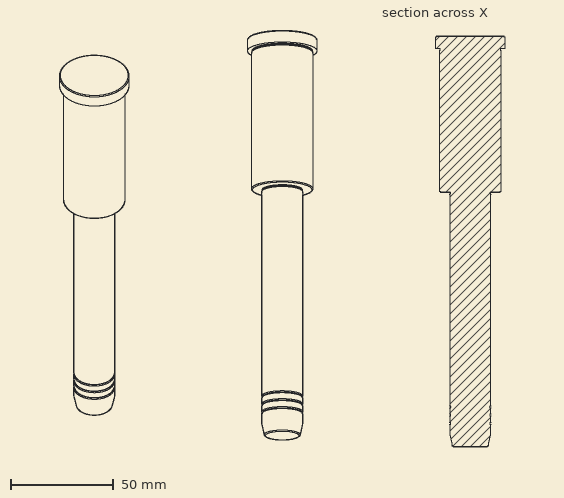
import cadquery as cq
import math

total_length = 200.0
head_diameter = 34.0
head_height = 6.0
head_chamfer = 0.5
body_diameter = 30.0
body_length = 70.0
body_chamfer = 0.5
shaft_diameter = 20.0

tip_length = 6.0
tip_angle = 12.0
tip_chamfer = 0.5

relief_width = 1.0
relief_depth = 0.2

groove_count = 3
groove_width = 1.0
groove_depth = 0.5
groove_pitch = 4.0
lowest_groove_bottom = 11.0

head_bottom = total_length - head_height
body_bottom = head_bottom - body_length
tip_diameter = shaft_diameter - 2 * tip_length * math.tan(math.radians(tip_angle))


def cylinder(diameter, bottom, height):
    return cq.Workplane("XY").workplane(offset=bottom).circle(diameter / 2).extrude(height)


def ring_cutter(profile):
    """Revolve a closed (radius, z) profile about the pin axis."""
    return cq.Workplane("XZ").polyline(profile).close().revolve(360, (0, 0), (0, 1))


def groove_cutter(center_z):
    """V-shaped ring groove in the shaft."""
    surface = shaft_diameter / 2
    return ring_cutter(
        [
            (surface, center_z - groove_width / 2),
            (surface, center_z + groove_width / 2),
            (surface - groove_depth, center_z),
        ]
    )


def relief_cutter(diameter, shoulder_z):
    """Shallow ring directly below a shoulder, with a sloping lower wall."""
    surface = diameter / 2
    floor = surface - relief_depth
    return ring_cutter(
        [
            (surface, shoulder_z),
            (floor, shoulder_z),
            (floor, shoulder_z - relief_width / 2),
            (surface, shoulder_z - relief_width),
        ]
    )


head = cylinder(head_diameter, head_bottom, head_height).faces(">Z").chamfer(head_chamfer)
body = cylinder(body_diameter, body_bottom, body_length).faces("<Z").chamfer(body_chamfer)
shaft = cylinder(shaft_diameter, tip_length, body_bottom - tip_length)
tip = (
    cq.Workplane("XY")
    .circle(tip_diameter / 2)
    .extrude(tip_length, taper=-tip_angle)
    .faces("<Z")
    .chamfer(tip_chamfer)
)
result = head.union(body).union(shaft).union(tip)

for diameter, shoulder in ((body_diameter, head_bottom), (shaft_diameter, body_bottom)):
    result = result.cut(relief_cutter(diameter, shoulder))

for index in range(groove_count):
    groove_z = lowest_groove_bottom + groove_width / 2 + index * groove_pitch
    result = result.cut(groove_cutter(groove_z))